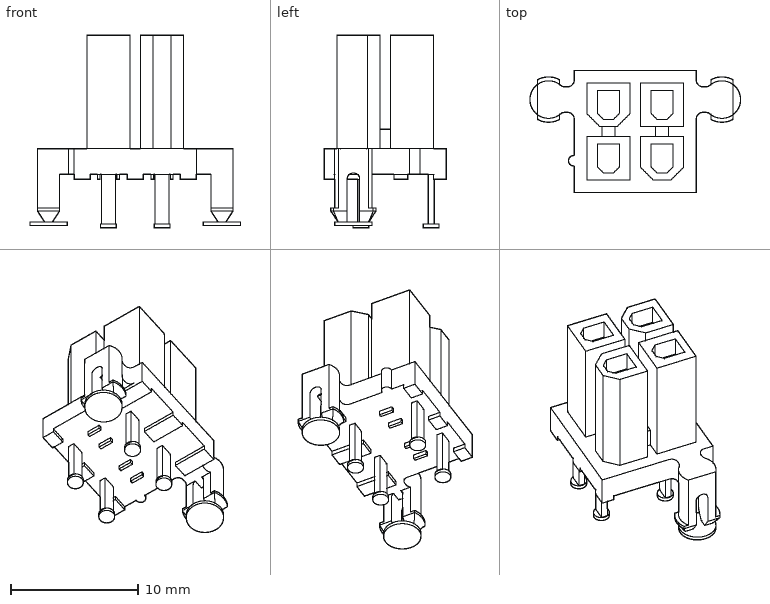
import cadquery as cq
import math


plate_side = 9.6
standoff = 0.38
plate_top = 2.42
plate_thickness = plate_top - standoff

pitch = 4.2
tower_side = 3.4
tower_top = 11.33
tower_chamfer = 1.0
cavity_width = 1.75
cavity_length = 2.25
cavity_shift = -0.025
cavity_chamfer = 0.48
cavity_depth = 1.57
bridge_width = 1.0
bridge_height = 1.52

foot_width = 1.28
foot_depth = (plate_side - pitch - tower_side) / 2
rib_width = 0.23
rib_length = 1.11
rib_y = -1.23
rib_spread = cavity_width - rib_width

pin_width = 1.11
pin_thickness = 0.5
pin_rows = (-3.61, 1.92)
pin_bottom = -3.81
pin_head_radius = 0.63
pin_head_thickness = 0.31

overall_length = 16.56
peg_radius = 1.47
peg_x = overall_length / 2 - peg_radius
peg_y = 2.5
peg_width = 1.75
neck_half = 1.01
neck_plate_fillet = 0.51
neck_peg_fillet = 0.58
slot_width = 1.0
barb_radius = 1.79
barb_top = -2.25
barb_edge = -2.48
disc_top = -3.35
disc_bottom = -3.65
tip_inset = 0.56

bump_radius = 0.41
bump_offset = 0.03
bump_y = -2.3

column_x = (-pitch / 2, pitch / 2)
row_y = (-pitch / 2, pitch / 2)


def box(width, depth, x, y, bottom, top):
    """Upright block centred on (x, y) between two heights."""
    return cq.Workplane("XY", origin=(x, y, bottom)).rect(width, depth).extrude(top - bottom)


def cylinder(radius, x, y, bottom, top):
    """Upright cylinder on (x, y) between two heights."""
    return cq.Workplane("XY", origin=(x, y, bottom)).circle(radius).extrude(top - bottom)


def keyed_block(width, length, chamfer, x, y, bottom, top):
    """Block whose two vertical edges on the -Y side are chamfered."""
    return box(width, length, x, y, bottom, top).faces("<Y").edges("|Z").chamfer(chamfer)


def tower(x, y):
    """Square or keyed tower; the keyed pair sits on one diagonal."""
    if x * y < 0:
        return keyed_block(tower_side, tower_side, tower_chamfer, x, y, plate_top, tower_top)
    return box(tower_side, tower_side, x, y, plate_top, tower_top)


def cavity(x, y):
    """Keyed socket in the top of a tower."""
    return keyed_block(cavity_width, cavity_length, cavity_chamfer, x, y + cavity_shift,
                       tower_top - cavity_depth, tower_top)


def pin(x, y):
    """Flat contact pin with a round head at its lower end."""
    blade = box(pin_width, pin_thickness, x, y, pin_bottom, standoff)
    return blade.union(cylinder(pin_head_radius, x, y, pin_bottom, pin_bottom + pin_head_thickness))


def neck():
    """Web from plate to -X peg, filleted into both, in the peg's own X and Y."""
    wall_x = peg_x - plate_side / 2
    reach = peg_radius + neck_peg_fillet
    fillet_y = neck_half + neck_peg_fillet
    fillet_x = math.sqrt(reach**2 - fillet_y**2)
    touch_x = fillet_x * peg_radius / reach
    touch_y = fillet_y * peg_radius / reach
    flat_end = wall_x - neck_plate_fillet
    wall_y = neck_half + neck_plate_fillet
    outline = (
        cq.Workplane("XY", origin=(-peg_x, peg_y, standoff))
        .moveTo(0, -touch_y)
        .lineTo(touch_x, -touch_y)
        .radiusArc((fillet_x, -neck_half), neck_peg_fillet)
        .lineTo(flat_end, -neck_half)
        .radiusArc((wall_x, -wall_y), neck_plate_fillet)
        .lineTo(wall_x, wall_y)
        .radiusArc((flat_end, neck_half), neck_plate_fillet)
        .lineTo(fillet_x, neck_half)
        .radiusArc((touch_x, touch_y), neck_peg_fillet)
        .lineTo(0, touch_y)
        .close()
    )
    return outline.extrude(plate_thickness)


def trimmed_disc(radius, half_width, bottom, top, right_side):
    """Cylinder about the peg axis cut flat on the -X side and kept up to right_side on +X."""
    width = half_width + right_side
    slab = box(width, 2 * radius, -peg_x + (right_side - half_width) / 2, peg_y, bottom, top)
    return cylinder(radius, -peg_x, peg_y, bottom, top).intersect(slab)


def barb_tip():
    """Tapered end of the barb, narrowing evenly down to the disc."""
    half = peg_width / 2
    half_chord = math.sqrt(barb_radius**2 - half**2)
    height = barb_edge - disc_top
    taper = math.degrees(math.atan(tip_inset / height))
    return (
        cq.Workplane("XY", origin=(-peg_x, peg_y, barb_edge))
        .moveTo(-half, -half_chord)
        .threePointArc((0, -barb_radius), (half, -half_chord))
        .lineTo(half, half_chord)
        .threePointArc((0, barb_radius), (-half, half_chord))
        .close()
        .extrude(-height, taper=taper)
    )


def peg():
    """Board peg on the -X side: slotted shank, barb, tapered tip, end disc and neck."""
    half = peg_width / 2
    shank = trimmed_disc(peg_radius, half, barb_top, standoff, half)
    head = trimmed_disc(peg_radius, half, standoff, plate_top, peg_radius)
    barb = trimmed_disc(barb_radius, half, barb_edge, barb_top, half)
    slot = box(peg_width, slot_width, -peg_x, peg_y, disc_top, 0)
    slot_arch = (
        cq.Workplane("YZ", origin=(-peg_x, peg_y, 0))
        .circle(slot_width / 2)
        .extrude(half, both=True)
    )
    body = shank.union(head).union(barb).union(barb_tip()).cut(slot).cut(slot_arch)
    disc = cylinder(peg_radius, -peg_x, peg_y, disc_bottom, disc_top)
    return body.union(disc).union(neck())


def feet():
    """Standoff blocks along the front and rear edges, and a pair of ribs under each column."""
    half_side = plate_side / 2
    rear_depth = half_side - (peg_y - slot_width / 2)
    outer_x = half_side - foot_width / 2
    blocks = cq.Workplane("XY")
    for x in (-outer_x, 0, outer_x):
        blocks = blocks.union(box(foot_width, foot_depth, x, -half_side + foot_depth / 2, 0, standoff))
        blocks = blocks.union(box(foot_width, rear_depth, x, half_side - rear_depth / 2, 0, standoff))
    for x in column_x:
        for side in (-rib_spread / 2, rib_spread / 2):
            blocks = blocks.union(box(rib_width, rib_length, x + side, rib_y, 0, standoff))
    return blocks


result = box(plate_side, plate_side, 0, 0, standoff, plate_top)
bump_x = -plate_side / 2 - bump_offset
result = result.union(cylinder(bump_radius, bump_x, bump_y, standoff, plate_top))
result = result.union(feet())

for x in column_x:
    result = result.union(box(bridge_width, pitch, x, 0, plate_top, plate_top + bridge_height))
    for y in row_y:
        result = result.union(tower(x, y))
    for y in row_y:
        result = result.cut(cavity(x, y))
    for y in pin_rows:
        result = result.union(pin(x, y))

left_peg = peg()
result = result.union(left_peg).union(left_peg.mirror("YZ"))